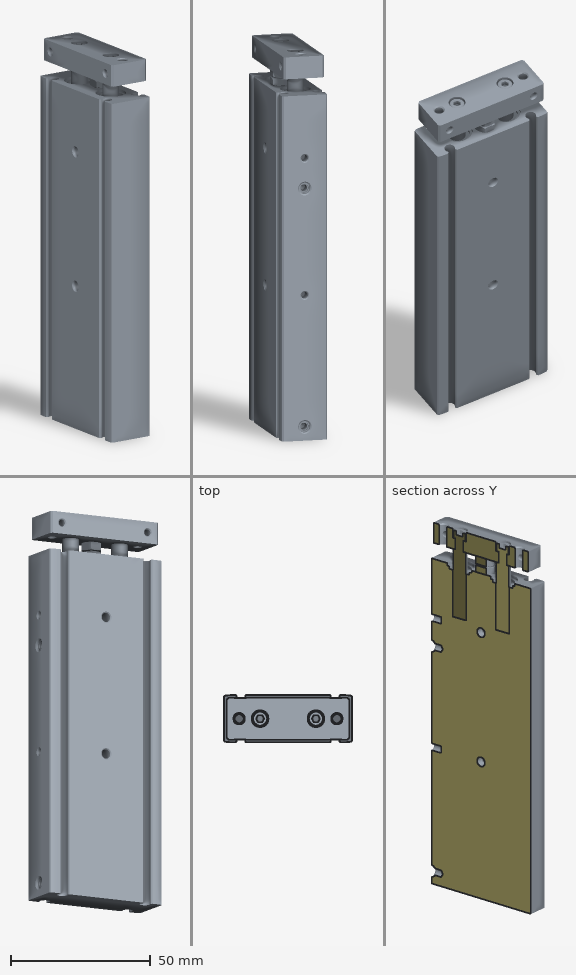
import cadquery as cq
import math

BOOLEAN_OVERSHOOT = 1.0
DRILL_TIP_ANGLE = 118.0

housing_width = 46.0
housing_depth = 17.0
housing_height = 126.0
shoulder_drop = 0.3
shoulder_width = 3.0
side_chamfer = 0.4

groove_offset = 16.9
groove_diameter = 3.8
groove_mouth = 3.0
groove_mouth_chamfer = 0.4
groove_centre_depth = 2.1

mounting_heights = (53.0, 103.0)
face_hole_diameter = 3.4
face_hole_rim = 4.13
side_hole_diameter = 2.46
side_hole_rim = 3.24
side_hole_depth = 4.5

port_heights = (5.0, 92.0)
port_rim_diameter = 5.0
port_diameter = 4.13
port_depth = 1.0
port_step_diameter = 3.24
port_step_depth = 1.5
port_passage_diameter = 2.46
port_passage_depth = 4.5

rod_offset = 10.0
rod_diameter = 6.0
rod_insertion = 20.0
seat_diameter = 11.0
seat_depth = 1.0
seat_bore_diameter = 9.0
seat_bore_depth = 2.0
screw_shank_diameter = 3.4
screw_head_diameter = 5.5
screw_head_height = 3.0
screw_head_chamfer = 0.25
screw_head_recess = 0.5
socket_size = 2.5
socket_depth = 1.5

plate_width = 44.0
plate_depth = 15.0
plate_thickness = 8.0
plate_gap = 6.0
plate_corner_chamfer = 0.7
plate_hole_offset = 17.5
plate_top_hole_diameter = 3.24
plate_top_hole_rim = 4.13
plate_face_hole_diameter = 2.46
plate_face_hole_rim = 3.24
counterbore_diameter = 6.03

bolt_y = 2.7
bolt_diameter = 4.0
bolt_insertion = 8.0
hex_size = 7.0
bolt_head_height = 3.0
nut_height = 2.6

plate_bottom = housing_height + plate_gap
plate_top = plate_bottom + plate_thickness
counterbore_depth = screw_head_height + screw_head_recess


def cylinder(diameter, height, x=0.0, y=0.0, z=0.0):
    """Upright cylinder whose base is at height z."""
    return cq.Workplane("XY", origin=(x, y, z)).circle(diameter / 2).extrude(height)


def cone(base_diameter, tip_diameter, height, start, direction):
    """Cone or frustum that starts at a point and runs along a direction."""
    solid = cq.Solid.makeCone(base_diameter / 2, tip_diameter / 2, height, start, direction)
    return cq.Workplane(obj=solid)


def hexagon_prism(across_flats, height, x, y, z):
    """Hexagonal prism with two corners on the X axis."""
    across_corners = across_flats / math.cos(math.pi / 6)
    return cq.Workplane("XY", origin=(x, y, z)).polygon(6, across_corners).extrude(height)


def rimmed_face_hole(diameter, rim, depth, x, z):
    """Hole through Y, countersunk at 45 degrees on both faces."""
    sink = (rim - diameter) / 2
    hole = cq.Workplane("XZ", origin=(x, depth / 2, z)).circle(diameter / 2).extrude(depth)
    for side in (-1, 1):
        start = cq.Vector(x, side * depth / 2, z)
        hole = hole.union(cone(rim, diameter, sink, start, cq.Vector(0, -side, 0)))
    return hole


def blind_side_hole(diameter, rim, depth, z):
    """Countersunk hole from the -X side, ending in a flat floor."""
    start = cq.Vector(-housing_width / 2, 0, z)
    hole = cq.Workplane("YZ", origin=start.toTuple()).circle(diameter / 2).extrude(depth)
    return hole.union(cone(rim, diameter, (rim - diameter) / 2, start, cq.Vector(1, 0, 0)))


def port(z):
    """Countersunk port that narrows in two steps to a drilled passage with a conical tip."""
    mouth = blind_side_hole(port_diameter, port_rim_diameter, port_depth, z)
    step = blind_side_hole(port_step_diameter, port_diameter, port_step_depth, z)
    passage = blind_side_hole(port_passage_diameter, port_step_diameter, port_passage_depth, z)
    tip_height = port_passage_diameter / 2 / math.tan(math.radians(DRILL_TIP_ANGLE / 2))
    tip_start = cq.Vector(-housing_width / 2 + port_passage_depth, 0, z)
    tip = cone(port_passage_diameter, 0, tip_height, tip_start, cq.Vector(1, 0, 0))
    return mouth.union(step).union(passage).union(tip)


def groove(x, side):
    """Round-bottomed groove with a narrower bevelled mouth along the full height."""
    centre_y = side * (housing_depth / 2 - groove_centre_depth)
    mouth_length = groove_centre_depth + BOOLEAN_OVERSHOOT
    mouth = (
        cq.Workplane("XY")
        .center(x, centre_y + side * mouth_length / 2)
        .rect(groove_mouth, mouth_length)
        .extrude(housing_height)
    )
    face = side * housing_depth / 2
    lip = side * groove_mouth_chamfer
    inner = groove_mouth / 2
    outer = inner + groove_mouth_chamfer
    bevel = (
        cq.Workplane("XY")
        .polyline([(x - inner, face - lip), (x + inner, face - lip), (x + outer, face), (x - outer, face)])
        .close()
        .extrude(housing_height)
    )
    return cylinder(groove_diameter, housing_height, x, centre_y).union(mouth).union(bevel)


def shoulder_middle(x_side, y_side):
    """Point halfway along the shoulder arc, which is tangent to the face."""
    radius = (shoulder_width**2 + shoulder_drop**2) / (2 * shoulder_drop)
    half_angle = math.asin(shoulder_width / radius) / 2
    x = housing_width / 2 - shoulder_width + radius * math.sin(half_angle)
    y = housing_depth / 2 - radius * (1 - math.cos(half_angle))
    return x_side * x, y_side * y


def make_housing():
    half_width = housing_width / 2
    flat = half_width - shoulder_width
    face = housing_depth / 2
    edge = face - shoulder_drop
    body = (
        cq.Workplane("XY")
        .moveTo(-flat, -face)
        .lineTo(flat, -face)
        .threePointArc(shoulder_middle(1, -1), (half_width, -edge))
        .lineTo(half_width, edge)
        .threePointArc(shoulder_middle(1, 1), (flat, face))
        .lineTo(-flat, face)
        .threePointArc(shoulder_middle(-1, 1), (-half_width, edge))
        .lineTo(-half_width, -edge)
        .threePointArc(shoulder_middle(-1, -1), (-flat, -face))
        .close()
        .extrude(housing_height)
    )
    body = body.edges("|Z").edges("<X or >X").chamfer(side_chamfer)
    for x in (-groove_offset, groove_offset):
        for side in (-1, 1):
            body = body.cut(groove(x, side))
    for z in mounting_heights:
        body = body.cut(rimmed_face_hole(face_hole_diameter, face_hole_rim, housing_depth, 0, z))
        body = body.cut(blind_side_hole(side_hole_diameter, side_hole_rim, side_hole_depth, z))
    for z in port_heights:
        body = body.cut(port(z))
    for x in (-rod_offset, rod_offset):
        body = body.cut(cylinder(seat_diameter, seat_depth, x, 0, housing_height - seat_depth))
        body = body.cut(cylinder(seat_bore_diameter, seat_bore_depth, x, 0, housing_height - seat_bore_depth))
        body = body.cut(cylinder(rod_diameter, rod_insertion, x, 0, housing_height - rod_insertion))
    return body.cut(cylinder(bolt_diameter, bolt_insertion, 0, bolt_y, housing_height - bolt_insertion))


def make_plate():
    plate = (
        cq.Workplane("XY", origin=(0, 0, plate_bottom))
        .rect(plate_width, plate_depth)
        .extrude(plate_thickness)
        .edges("|Z")
        .chamfer(plate_corner_chamfer)
    )
    sink = (plate_top_hole_rim - plate_top_hole_diameter) / 2
    down = cq.Vector(0, 0, -1)
    for side in (-1, 1):
        hole_x = side * plate_hole_offset
        hole_z = plate_bottom + plate_thickness / 2
        plate = plate.cut(cylinder(plate_top_hole_diameter, plate_thickness, hole_x, 0, plate_bottom))
        sink_start = cq.Vector(hole_x, 0, plate_top)
        plate = plate.cut(cone(plate_top_hole_rim, plate_top_hole_diameter, sink, sink_start, down))
        plate = plate.cut(
            rimmed_face_hole(plate_face_hole_diameter, plate_face_hole_rim, plate_depth, hole_x, hole_z)
        )
        rod_x = side * rod_offset
        plate = plate.cut(cylinder(screw_shank_diameter, plate_thickness, rod_x, 0, plate_bottom))
        plate = plate.cut(
            cylinder(counterbore_diameter, counterbore_depth, rod_x, 0, plate_top - counterbore_depth)
        )
    return plate


def make_rod(x):
    """Rod with the socket-head screw that fastens the plate to its end."""
    head_bottom = plate_top - counterbore_depth
    head_top = head_bottom + screw_head_height
    rod = cylinder(rod_diameter, rod_insertion + plate_gap, x, 0, housing_height - rod_insertion)
    rod = rod.union(cylinder(screw_shank_diameter, head_bottom - plate_bottom, x, 0, plate_bottom))
    head = cylinder(screw_head_diameter, screw_head_height, x, 0, head_bottom)
    rod = rod.union(head.faces(">Z").chamfer(screw_head_chamfer))
    return rod.cut(hexagon_prism(socket_size, socket_depth, x, 0, head_top - socket_depth))


def chamfered_hexagon(height, z):
    """Hexagon whose corners are turned off by 30 degree cones at both ends."""
    across_corners = hex_size / math.cos(math.pi / 6)
    corner_drop = (across_corners - hex_size) / 2 * math.tan(math.pi / 6)
    turned = (
        cq.Workplane("XZ")
        .moveTo(0, 0)
        .lineTo(hex_size / 2, 0)
        .lineTo(across_corners / 2, corner_drop)
        .lineTo(across_corners / 2, height - corner_drop)
        .lineTo(hex_size / 2, height)
        .lineTo(0, height)
        .close()
        .revolve(360, (0, 0, 0), (0, height, 0))
        .translate((0, bolt_y, z))
    )
    return turned.intersect(hexagon_prism(hex_size, height, 0, bolt_y, z))


def make_nut():
    return chamfered_hexagon(nut_height, housing_height).cut(
        cylinder(bolt_diameter, nut_height, 0, bolt_y, housing_height)
    )


def make_bolt():
    head_bottom = plate_bottom - bolt_head_height
    shank_length = head_bottom - housing_height + bolt_insertion
    shank = cylinder(bolt_diameter, shank_length, 0, bolt_y, housing_height - bolt_insertion)
    return chamfered_hexagon(bolt_head_height, head_bottom).union(shank)


housing = make_housing()
plate = make_plate()
rods = [make_rod(x) for x in (-rod_offset, rod_offset)]
nut = make_nut()
bolt = make_bolt()

result = cq.Compound.makeCompound(
    [housing.val(), plate.val(), *[rod.val() for rod in rods], nut.val(), bolt.val()]
)